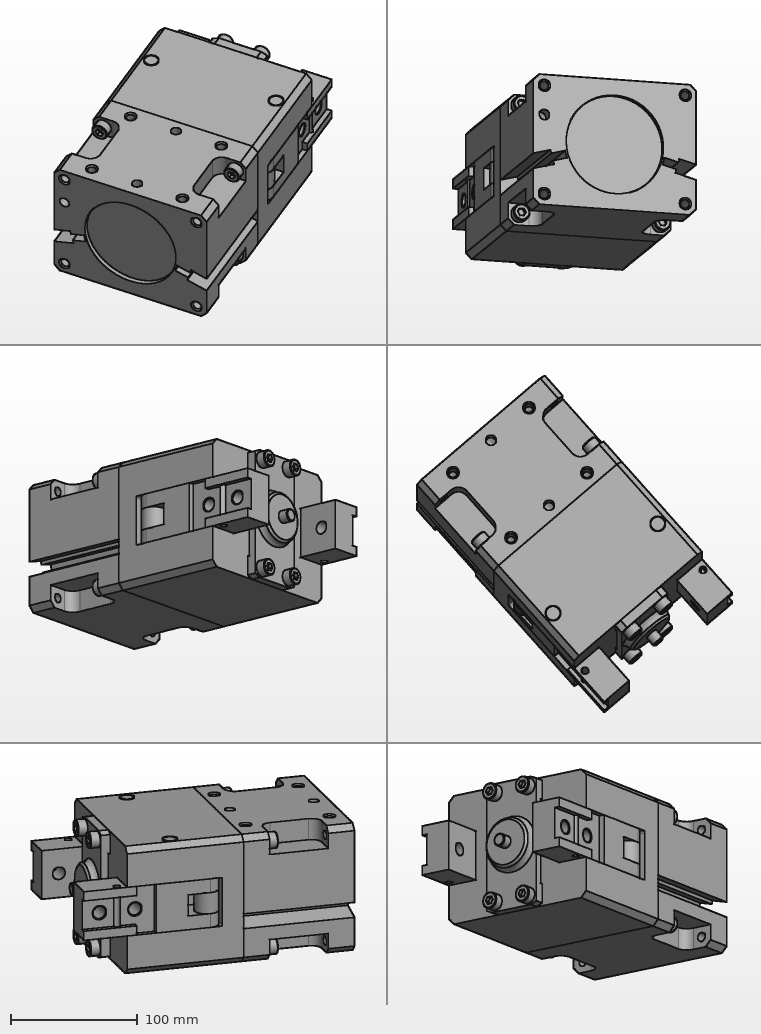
import cadquery as cq
import math

width = 134.0
height = 106.0
edge_chamfer = 5.0
front_length = 92.2
rear_length = 96.8
rear_end = front_length + rear_length
total_length = 225.0

cut_margin = 2.2
head_diameter = 13.3
head_radius = head_diameter / 2
head_height = 8.0
head_chamfer = 0.7
socket_flats = 5.8
socket_depth = 3.5

bore_radius = 40.0
bore_depth = 4.0
slit_tilt = 15.0
slit_inner_radius = 41.6
slit_step_distance = 53.3
slit_wide = 12.0
slit_narrow = 6.0
pocket_start = 21.8
pocket_end = 70.6
pocket_width = 25.6
pocket_depth = 17.5
pocket_corner_radius = 8.5
corner_hole_x = 58.0
corner_hole_z = 44.0
thread_radius = 3.5
thread_chamfer = 1.24
thread_depth = 13.5
drill_point_angle = 118.0
dowel_diameter = 8.3
dowel_radius = dowel_diameter / 2
dowel_depth = 10.1
front_dowel_z = 20.2
top_hole_x = 39.8
top_hole_rows = (12.2, 82.0)

plate_half_width = 24.0
plate_height = 105.8
plate_thickness = 7.9
plate_end = rear_end + plate_thickness
plate_corner_radius = 56.0
plate_gap = 1.8
plate_gap_height = 69.8
plate_screw_x = 16.0
plate_screw_z = 45.0
hub_radius = 20.5
hub_foot_height = 6.0
hub_foot_slope = 45.0
hub_chamfer = 2.0
hub_height = hub_foot_height + hub_chamfer
stud_diameter = 10.1
stud_radius = stud_diameter / 2
stud_length = 8.8
pivot_x = 55.0
pivot_y = 149.6
pivot_outer_radius = 6.0
pivot_groove = 0.5

lever_thickness = 26.0
lever_height = 40.5
lever_start = 110.0
lever_corner_radius = 1.4
lever_nose_radius = 10.0
channel_depth = 4.5
channel_height = 25.2
rail_start = 181.1
step_start = 165.0
cross_hole_radius = 5.2
cross_hole_chamfer = 0.7
cross_hole_ys = (rail_start, 210.5)
upright_hole_x = 61.9
upright_hole_y = 196.0
upright_hole_diameter = 5.6
upright_hole_radius = upright_hole_diameter / 2
window_end = 138.4
window_height = 17.5
passage_start = 131.2

SIDES = (-1, 1)


def box(x_range, y_range, z_range):
    """Axis-aligned box between the given limits."""
    size = [max(r) - min(r) for r in (x_range, y_range, z_range)]
    corner = (min(x_range), min(y_range), min(z_range))
    return cq.Workplane("XY").box(*size, centered=False).translate(corner)


def rod(start, direction, radius, length):
    """Plain cylinder from a start point along a direction."""
    return cq.Workplane(cq.Solid.makeCylinder(radius, length, cq.Vector(*start), cq.Vector(*direction)))


def chamfered_hole(start, direction, radius, chamfer, depth):
    """Cutter for a hole whose mouth at the start point is chamfered."""
    mouth = cq.Solid.makeCone(radius + chamfer, radius, chamfer, cq.Vector(*start), cq.Vector(*direction))
    return rod(start, direction, radius, depth).union(cq.Workplane(mouth))


def drill_point(start, direction, radius, depth):
    """Cutter for the conical bottom of a drilled hole of the given depth."""
    tip = cq.Vector(*start) + cq.Vector(*direction) * depth
    tip_length = radius / math.tan(math.radians(drill_point_angle / 2))
    return cq.Workplane(cq.Solid.makeCone(radius, 0, tip_length, tip, cq.Vector(*direction)))


def threaded_hole(start, direction):
    """Cutter for a blind threaded hole with a chamfered mouth and a conical bottom."""
    hole = chamfered_hole(start, direction, thread_radius, thread_chamfer, thread_depth)
    return hole.union(drill_point(start, direction, thread_radius, thread_depth))


def dowel_hole(start, direction):
    """Cutter for a blind dowel hole with a conical bottom."""
    hole = rod(start, direction, dowel_radius, dowel_depth)
    return hole.union(drill_point(start, direction, dowel_radius, dowel_depth))


def chamfered_block(y_start, length):
    """A length of the block section, with its four long edges chamfered."""
    block = box((-width / 2, width / 2), (y_start, y_start + length), (-height / 2, height / 2))
    return block.edges("|Y").chamfer(edge_chamfer)


def screw_head(x, y, z, direction):
    """Socket screw head seated at Y = y and facing along direction (+1 or -1) in Y."""
    plane = cq.Plane(origin=(x, y, z), xDir=(1, 0, 0), normal=(0, direction, 0))
    head = cq.Workplane(plane).circle(head_radius).extrude(head_height)
    head = head.faces(">Y" if direction > 0 else "<Y").edges().chamfer(head_chamfer)
    socket = (
        cq.Workplane(plane)
        .workplane(offset=head_height - socket_depth)
        .polygon(6, socket_flats / math.cos(math.pi / 6))
        .extrude(socket_depth)
    )
    return head.cut(socket)



def stepped_slit(side):
    """Radial slit along the block, wide at the side face and narrow towards the bore."""
    reach = width / 2 + slit_wide
    y_range = (-cut_margin, front_length + cut_margin)
    narrow = box((0, reach), y_range, (-slit_narrow / 2, slit_narrow / 2))
    wide = box((slit_step_distance, reach), y_range, (-slit_wide / 2, slit_wide / 2))
    core = rod((0, -cut_margin, 0), (0, 1, 0), slit_inner_radius, front_length + 2 * cut_margin)
    slit = narrow.union(wide).cut(core).rotate((0, 0, 0), (0, 1, 0), slit_tilt)
    return slit if side > 0 else slit.mirror("YZ")


def corner_pocket(x_side, z_side):
    """Screw pocket, open to the side and to the top or bottom."""
    pocket = box(
        (width / 2 - pocket_width, width / 2 + pocket_width),
        (pocket_start, pocket_end),
        (height / 2 - pocket_depth, height / 2 + cut_margin),
    ).edges("|Z").edges("<X").fillet(pocket_corner_radius)
    if x_side < 0:
        pocket = pocket.mirror("YZ")
    return pocket if z_side > 0 else pocket.mirror("XY")


def make_front_block():
    block = chamfered_block(0, front_length)
    block = block.cut(rod((0, 0, 0), (0, 1, 0), bore_radius, bore_depth))
    for x_side in SIDES:
        block = block.cut(stepped_slit(x_side))
        for z_side in SIDES:
            x = x_side * corner_hole_x
            z = z_side * corner_hole_z
            block = block.cut(corner_pocket(x_side, z_side))
            block = block.cut(
                chamfered_hole((x, 0, z), (0, 1, 0), thread_radius, thread_chamfer, pocket_start)
            )
            block = block.union(screw_head(x, pocket_end, z, -1))
    block = block.cut(dowel_hole((-corner_hole_x, 0, front_dowel_z), (0, 1, 0)))
    for y in top_hole_rows:
        block = block.cut(dowel_hole((0, y, height / 2), (0, 0, -1)))
        for x_side in SIDES:
            block = block.cut(threaded_hole((x_side * top_hole_x, y, height / 2), (0, 0, -1)))
    return block



def lever_blank():
    """Left lever before machining, which is also the shape of its recess in the rear block."""
    blank = box(
        (-width / 2, -width / 2 + lever_thickness),
        (lever_start, total_length),
        (-lever_height / 2, lever_height / 2),
    )
    return blank.edges("|X").edges("<Y").fillet(lever_corner_radius)


def make_lever(side):
    outer = -width / 2
    inner = outer + lever_thickness
    x_through = (outer - cut_margin, inner + cut_margin)
    x_channel = (outer - cut_margin, outer + channel_depth)
    lever = lever_blank()

    nose_y = lever_start + lever_nose_radius
    nose_x = outer + lever_nose_radius
    corner = box((outer, nose_x), (lever_start, nose_y), (-lever_height / 2, lever_height / 2))
    round_bar = rod((nose_x, nose_y, -lever_height / 2), (0, 0, 1), lever_nose_radius, lever_height)
    lever = lever.cut(corner.cut(round_bar))

    channel_z = (-channel_height / 2, channel_height / 2)
    lever = lever.cut(box(x_channel, (step_start, total_length), channel_z))
    lever = lever.cut(box(x_channel, (step_start, rail_start), (-lever_height / 2, lever_height / 2)))

    window_z = (-window_height / 2, window_height / 2)
    lever = lever.cut(box(x_through, (lever_start, window_end), window_z))

    for y in cross_hole_ys:
        mouth = (outer + channel_depth, y, 0)
        lever = lever.cut(
            chamfered_hole(mouth, (1, 0, 0), cross_hole_radius, cross_hole_chamfer, lever_thickness)
        )
    upright_start = (-upright_hole_x, upright_hole_y, -lever_height / 2)
    lever = lever.cut(rod(upright_start, (0, 0, 1), upright_hole_radius, lever_height))
    return lever if side < 0 else lever.mirror("YZ")


def make_roller(side):
    x = side * (width / 2 - lever_nose_radius)
    y = lever_start + lever_nose_radius
    return rod((x, y, -window_height / 2), (0, 0, 1), lever_nose_radius, window_height)



def end_plate():
    """Bridging plate with rounded corners, relieved across its middle."""
    x_range = (-plate_half_width, plate_half_width)
    plate = box(x_range, (rear_end, plate_end), (-plate_height / 2, plate_height / 2))
    plate = plate.intersect(rod((0, rear_end, 0), (0, 1, 0), plate_corner_radius, plate_thickness))
    gap_z = (-plate_gap_height / 2, plate_gap_height / 2)
    return plate.cut(box(x_range, (rear_end, rear_end + plate_gap), gap_z))


def hub():
    """Round hub with a hollow-curved foot, and the central stud on it."""
    stud_end = hub_height + stud_length
    slope = math.radians(hub_foot_slope)
    curve_radius = hub_foot_height / math.sin(slope)

    def foot_point(angle):
        return (
            hub_radius + curve_radius * (1 - math.cos(angle)),
            hub_foot_height - curve_radius * math.sin(angle),
        )

    turned = (
        cq.Workplane("XY")
        .lineTo(*foot_point(slope))
        .threePointArc(foot_point(slope / 2), foot_point(0))
        .lineTo(hub_radius - hub_chamfer, hub_height)
        .lineTo(stud_radius, hub_height)
        .lineTo(stud_radius, stud_end - head_chamfer)
        .lineTo(stud_radius - head_chamfer, stud_end)
        .lineTo(0, stud_end)
        .close()
        .revolve(360, (0, 0, 0), (0, 1, 0))
    )
    return turned.translate((0, plate_end, 0))


def pivot_ring(side):
    """Fine groove around the end of a flush pivot in the top face."""
    start = (side * pivot_x, pivot_y, height / 2)
    outer = rod(start, (0, 0, -1), pivot_outer_radius, pivot_groove)
    return outer.cut(rod(start, (0, 0, -1), pivot_outer_radius - pivot_groove, pivot_groove))


def make_rear_block():
    block = chamfered_block(front_length, rear_length)
    recess = lever_blank()
    block = block.cut(recess).cut(recess.mirror("YZ"))

    x_range = (-width / 2, width / 2)
    block = block.cut(box(x_range, (passage_start, window_end), (-window_height / 2, window_height / 2)))
    block = block.cut(rod((-width / 2, rail_start, 0), (1, 0, 0), cross_hole_radius, width))

    block = block.union(end_plate()).union(hub())
    for x_side in SIDES:
        block = block.cut(pivot_ring(x_side))
        for z_side in SIDES:
            block = block.union(screw_head(x_side * plate_screw_x, plate_end, z_side * plate_screw_z, 1))
    return block


front_block = make_front_block()
rear_block = make_rear_block()
levers = [make_lever(side) for side in SIDES]
rollers = [make_roller(side) for side in SIDES]

result = cq.Compound.makeCompound(
    [front_block.val(), rear_block.val()]
    + [lever.val() for lever in levers]
    + [roller.val() for roller in rollers]
)